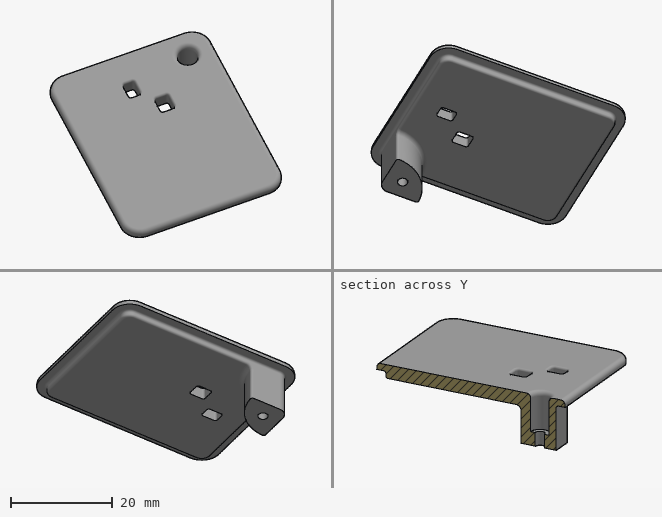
import cadquery as cq

length = 42.0
width = 34.0
height = 11.0

flange_thickness = 1.5
plate_thickness = 3.0
step_inset = 2.0
step_length = length - 2 * step_inset
step_width = width - 2 * step_inset
flange_corner_radius = 4.0
step_corner_radius = flange_corner_radius - step_inset
top_edge_radius = 1.0
small_edge_radius = 0.5

post_radius = 8.65
post_root_radius = 1.0
step_left = -step_length / 2
step_back = step_width / 2

screw_offset = 3.6
screw_x = step_left + screw_offset
screw_y = step_back - screw_offset
screw_hole_diameter = 2.0
screw_head_diameter = 4.0
screw_floor_thickness = 3.0
screw_head_depth = height - screw_floor_thickness
screw_mouth_radius = 1.0

windows = [
    (-6.5, 2.6, 3.5, 3.0),
    (-12.2, -1.97, 3.5, 2.48),
]
window_corner_radius = 0.5
window_mouth_radius = 0.5

pick_margin = 0.05


def rounded_slab(size_x, size_y, corner_radius, top, bottom):
    """Rectangular slab with rounded vertical corners."""
    slab = cq.Workplane("XY").workplane(offset=bottom).rect(size_x, size_y).extrude(top - bottom)
    return slab.edges("|Z").fillet(corner_radius)


def quarter_post():
    """Quarter cylinder filling the corner of the step, from the flange to the foot."""
    cylinder = (
        cq.Workplane("XY")
        .workplane(offset=-height)
        .center(step_left, step_back)
        .circle(post_radius)
        .extrude(height - flange_thickness)
    )
    step_column = rounded_slab(step_length, step_width, step_corner_radius, -flange_thickness, -height)
    return cylinder.intersect(step_column)


def step_with_post():
    """Step and post, blended at the root and rounded along their shared outer edge."""
    step = rounded_slab(step_length, step_width, step_corner_radius, -flange_thickness, -plate_thickness)
    body = step.union(quarter_post())

    root_picker = cq.selectors.BoxSelector(
        (step_left - pick_margin, step_back - post_radius - pick_margin, -plate_thickness - pick_margin),
        (step_left + post_radius + pick_margin, step_back + pick_margin, -plate_thickness + pick_margin),
        boundingbox=True,
    )
    body = body.edges(root_picker).fillet(post_root_radius)

    post_edge_picker = cq.selectors.BoxSelector(
        (step_left - pick_margin, step_back - post_radius - pick_margin, -height - pick_margin),
        (step_left + pick_margin, step_back - post_radius + pick_margin, -plate_thickness),
        boundingbox=True,
    )
    return body.edges(post_edge_picker).fillet(small_edge_radius)


def flange():
    """Top slab with a rounded upper rim."""
    slab = rounded_slab(length, width, flange_corner_radius, 0, -flange_thickness)
    return slab.faces(">Z").edges().fillet(top_edge_radius)


def joint_edges():
    """Selector for the concave corner where the step meets the flange."""
    return cq.selectors.BoxSelector(
        (step_left - pick_margin, -step_back - pick_margin, -flange_thickness - pick_margin),
        (-step_left + pick_margin, step_back + pick_margin, -flange_thickness + pick_margin),
        boundingbox=True,
    )


def screw_hole_cutter():
    """Stepped bore with a rounded, flaring mouth."""
    head_radius = screw_head_diameter / 2
    hole_radius = screw_hole_diameter / 2
    mouth_radius = head_radius + screw_mouth_radius
    profile = (
        cq.Workplane("XZ")
        .lineTo(mouth_radius, 0)
        .radiusArc((head_radius, -screw_mouth_radius), -screw_mouth_radius)
        .lineTo(head_radius, -screw_head_depth)
        .lineTo(hole_radius, -screw_head_depth)
        .lineTo(hole_radius, -height)
        .lineTo(0, -height)
        .close()
    )
    return profile.revolve(360, (0, 0), (0, 1)).translate((screw_x, screw_y, 0))


def cut_window(body, x, y, size_x, size_y):
    """Cut one window through the plate and round its upper edge."""
    cutter = rounded_slab(size_x, size_y, window_corner_radius, 0, -plate_thickness).translate((x, y, 0))
    mouth_picker = cq.selectors.BoxSelector(
        (x - size_x / 2 - pick_margin, y - size_y / 2 - pick_margin, -pick_margin),
        (x + size_x / 2 + pick_margin, y + size_y / 2 + pick_margin, pick_margin),
        boundingbox=True,
    )
    return body.cut(cutter).edges(mouth_picker).fillet(window_mouth_radius)


result = flange().union(step_with_post())
result = result.edges(joint_edges()).fillet(small_edge_radius)
result = result.cut(screw_hole_cutter())
for x, y, size_x, size_y in windows:
    result = cut_window(result, x, y, size_x, size_y)